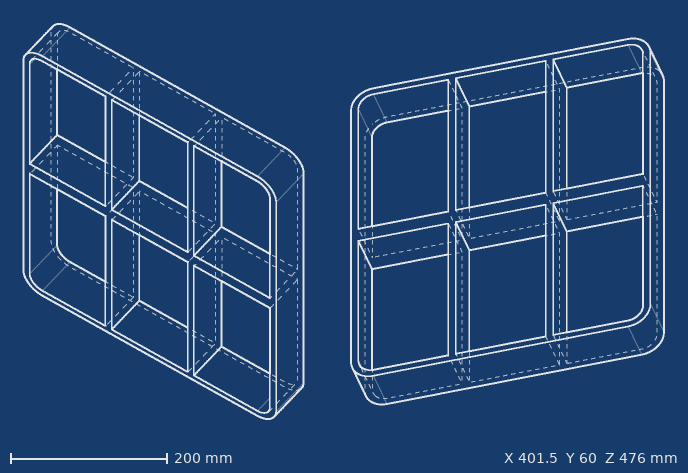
import cadquery as cq

width = 401.5
depth = 60.0
height = 476.0

wall = 10.0
shelf_thickness = 2 * wall
corner_radius = 30.0
inner_radius = corner_radius - wall

columns = 3
divider_pitch = (width - wall) / columns


def front_slab(size_x, size_z):
    """Full-depth block centred on the origin, spanning X and Z."""
    return cq.Workplane("XY").box(size_x, depth, size_z)


outer = front_slab(width, height).edges("|Y").fillet(corner_radius)
inner_width = width - 2 * wall
inner_height = height - 2 * wall
opening = front_slab(inner_width, inner_height).edges("|Y").fillet(inner_radius)
frame = outer.cut(opening)

result = frame.union(front_slab(width - wall, shelf_thickness))

for index in range(1, columns):
    divider_x = (index - columns / 2) * divider_pitch
    divider = front_slab(wall, height - wall).translate((divider_x, 0, 0))
    result = result.union(divider)